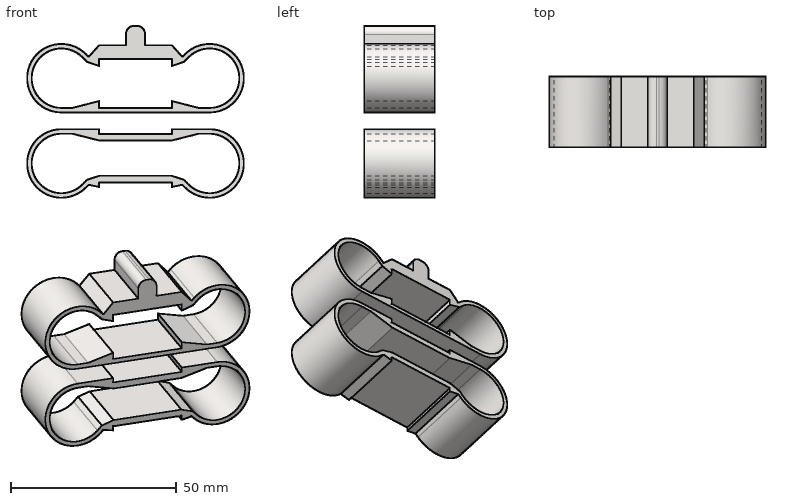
import cadquery as cq
import math

OVERALL_LENGTH = 65.7
OVERALL_HEIGHT = 52.1
CLIP_DEPTH = 21.5
LOOP_DIAMETER = 20.8
WALL = 1.45
CLIP_GAP = 5.0
OUTER_RADIUS = LOOP_DIAMETER / 2
INNER_RADIUS = OUTER_RADIUS - WALL
LOOP_X = OVERALL_LENGTH / 2 - OUTER_RADIUS
UPPER_CLIP_Z = LOOP_DIAMETER + CLIP_GAP


NECK_OUTER_X = 14.2
NECK_INNER_X = 14.65
NECK_OUTER_HEIGHT = OUTER_RADIUS * math.sqrt(2) - (LOOP_X - NECK_OUTER_X)
NECK_INNER_HEIGHT = INNER_RADIUS * math.sqrt(2) - (LOOP_X - NECK_INNER_X)

BARB_X = 11.05
RAMP_START_X = 19.1
WALL_BARB_HEIGHT = -6.9
JAW_BARB_HEIGHT = 3.7
JAW_STEP_HEIGHT = 5.8

JAW_TOP_HEIGHT = 10.0
KNOB_WIDTH = 5.85
KNOB_FILLET = 2.5
KNOB_TOP_HEIGHT = OVERALL_HEIGHT - OUTER_RADIUS - UPPER_CLIP_Z

BRIDGE_PLAY = 0.1
BRIDGE_X = BARB_X - BRIDGE_PLAY
OUTER_BARB_HEIGHT = 7.15


def clip_solid(outer_wall, outer_jaw, inner_jaw, inner_wall):
    """Build a clip from the points of its +X half that lie between the loop and the middle plane.

    Outer points run along the outside of the clip, inner points along its inside.
    """
    outer_tangent = OUTER_RADIUS * math.sqrt(0.5)
    inner_tangent = INNER_RADIUS * math.sqrt(0.5)
    half = (
        cq.Workplane("XZ")
        .polyline([*outer_wall, (LOOP_X, -OUTER_RADIUS)])
        .threePointArc((LOOP_X + outer_tangent, outer_tangent), (LOOP_X - outer_tangent, outer_tangent))
        .polyline([(NECK_OUTER_X, NECK_OUTER_HEIGHT), *outer_jaw], includeCurrent=True)
        .polyline([*inner_jaw, (NECK_INNER_X, NECK_INNER_HEIGHT)], includeCurrent=True)
        .lineTo(LOOP_X - inner_tangent, inner_tangent)
        .threePointArc((LOOP_X + inner_tangent, inner_tangent), (LOOP_X, -INNER_RADIUS))
        .polyline(inner_wall, includeCurrent=True)
        .close()
        .extrude(CLIP_DEPTH / 2, both=True)
    )
    return half.union(half.mirror("YZ"), clean=True)


def make_knob():
    """Rounded rib along Y that stands on the jaw of the upper clip."""
    height = KNOB_TOP_HEIGHT - JAW_TOP_HEIGHT
    return (
        cq.Workplane("XY")
        .workplane(offset=JAW_TOP_HEIGHT)
        .rect(KNOB_WIDTH, CLIP_DEPTH)
        .extrude(height)
        .edges("|Y and >Z")
        .fillet(KNOB_FILLET)
    )


def make_upper_clip():
    """Clip with its jaw on top, barbs facing inward and a knob on the jaw."""
    body = clip_solid(
        outer_wall=[(0, -OUTER_RADIUS)],
        outer_jaw=[(BARB_X, JAW_TOP_HEIGHT), (0, JAW_TOP_HEIGHT)],
        inner_jaw=[(0, JAW_STEP_HEIGHT), (BARB_X, JAW_STEP_HEIGHT), (BARB_X, JAW_BARB_HEIGHT)],
        inner_wall=[
            (RAMP_START_X, -INNER_RADIUS),
            (BARB_X, WALL_BARB_HEIGHT),
            (BARB_X, -INNER_RADIUS),
            (0, -INNER_RADIUS),
        ],
    )
    return body.union(make_knob()).translate((0, 0, UPPER_CLIP_Z))


def make_lower_clip():
    """Clip turned jaw down, with a recess between the barbs outside both bridges."""
    body = clip_solid(
        outer_wall=[
            (0, -INNER_RADIUS),
            (BARB_X, -INNER_RADIUS),
            (BARB_X, -OUTER_RADIUS),
        ],
        outer_jaw=[(BARB_X, OUTER_BARB_HEIGHT), (BARB_X, JAW_STEP_HEIGHT), (0, JAW_STEP_HEIGHT)],
        inner_jaw=[(0, JAW_BARB_HEIGHT), (BRIDGE_X, JAW_BARB_HEIGHT)],
        inner_wall=[
            (RAMP_START_X, -INNER_RADIUS),
            (BRIDGE_X, WALL_BARB_HEIGHT),
            (0, WALL_BARB_HEIGHT),
        ],
    )
    return body.mirror("XY")


upper_clip = make_upper_clip()
lower_clip = make_lower_clip()

result = cq.Compound.makeCompound([upper_clip.val(), lower_clip.val()])